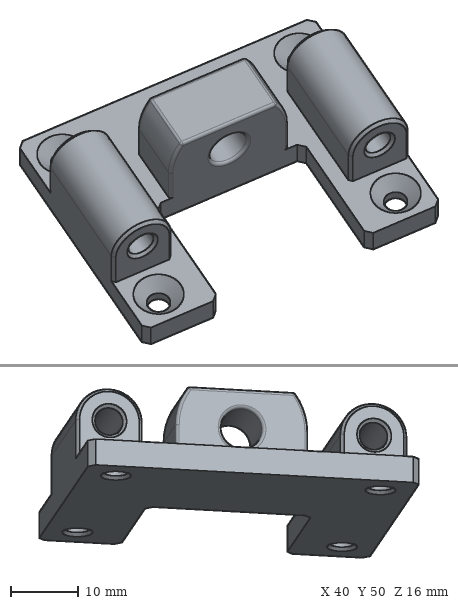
import cadquery as cq

plate_length = 40.0
plate_width = 50.0
plate_thickness = 4.0
notch_width = 25.0
notch_depth = plate_length / 2
corner_chamfer = 1.0

screw_diameter = 3.5
countersink_diameter = 7.5
countersink_angle = 90.0
screw_edge_distance = 5.0
screw_exit_chamfer = 0.5

axis_height = 10.0
edge_size = 0.5
block_start = -10.0

knuckle_length = 20.0
knuckle_radius = 5.0
knuckle_bore = 4.2
knuckle_offset = plate_width / 2 - knuckle_radius

center_length = 10.0
center_radius = 10.0
center_height = 16.0
center_bore = 6.2


def make_plate():
    """Plate with an open notch and every vertical corner chamfered."""
    plate = cq.Workplane("XY").box(
        plate_length, plate_width, plate_thickness, centered=(True, True, False)
    )
    notch = (
        cq.Workplane("XY")
        .center(plate_length / 2 - notch_depth / 2, 0)
        .rect(notch_depth, notch_width)
        .extrude(plate_thickness)
    )
    return plate.cut(notch).edges("|Z").chamfer(corner_chamfer)


def make_block(y, length, radius, height):
    """Round-topped block along X, trimmed flat at the given height."""
    block = (
        cq.Workplane("YZ", origin=(block_start, y, 0))
        .moveTo(-radius, 0)
        .lineTo(-radius, axis_height)
        .threePointArc((0, axis_height + radius), (radius, axis_height))
        .lineTo(radius, 0)
        .close()
        .extrude(length)
    )
    envelope = cq.Workplane("XY", origin=(block_start, y, 0)).box(
        length, 2 * radius, height, centered=(False, True, False)
    )
    return block.intersect(envelope)


def rim_edges(block):
    """Edges around both end faces, except those on the underside."""
    return block.faces("<X or >X").edges("not <Z")


def make_bore(y, length, diameter):
    """Plain cylindrical cutter for a bore along X."""
    return cq.Workplane("YZ", origin=(block_start, y, axis_height)).circle(diameter / 2).extrude(length)


def bore_mouths(block):
    """Full-circle edges where the bore breaks through the end faces."""
    return block.faces("<X or >X").edges("%CIRCLE").filter(lambda edge: edge.IsClosed())


def make_outer_knuckle(y):
    """Outer knuckle with chamfered rims and bore mouths."""
    block = make_block(y, knuckle_length, knuckle_radius, axis_height + knuckle_radius)
    block = rim_edges(block).chamfer(edge_size)
    block = block.cut(make_bore(y, knuckle_length, knuckle_bore))
    return bore_mouths(block).chamfer(edge_size)


def make_center_knuckle():
    """Central knuckle with rounded rims, top ridges and bore mouths."""
    block = make_block(0, center_length, center_radius, center_height)
    ridges = block.faces(">Z").edges("|X")
    block = rim_edges(block).add(ridges).fillet(edge_size)
    block = block.cut(make_bore(0, center_length, center_bore))
    return bore_mouths(block).fillet(edge_size)


result = (
    make_plate()
    .faces(">Z")
    .workplane(origin=(0, 0, plate_thickness))
    .rect(
        plate_length - 2 * screw_edge_distance,
        plate_width - 2 * screw_edge_distance,
        forConstruction=True,
    )
    .vertices()
    .cskHole(screw_diameter, countersink_diameter, countersink_angle)
)

result = result.faces("<Z").edges("%CIRCLE").chamfer(screw_exit_chamfer)

for y in (-knuckle_offset, knuckle_offset):
    result = result.union(make_outer_knuckle(y))
result = result.union(make_center_knuckle())